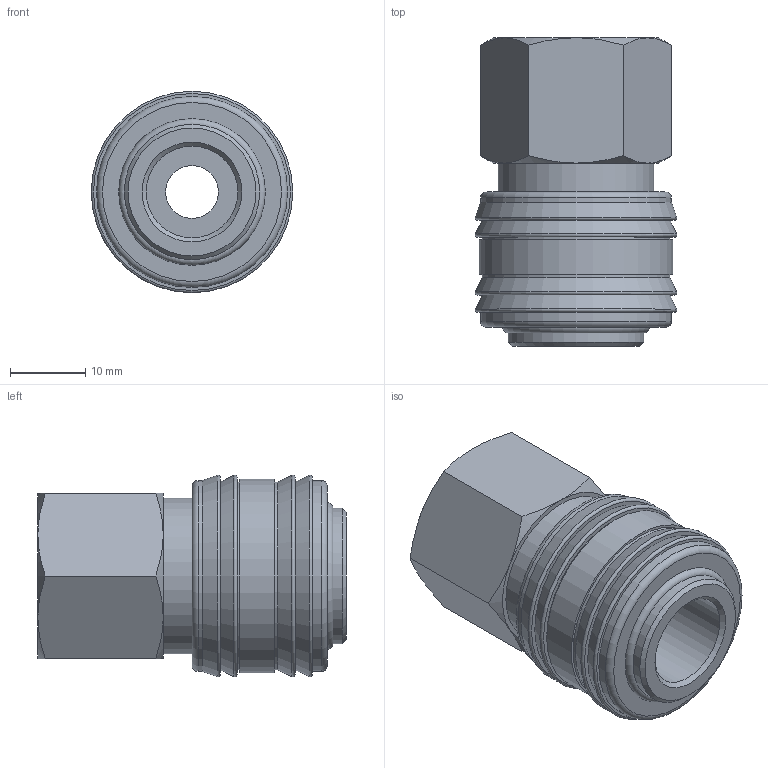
import cadquery as cq
import math


sleeve_front = 2.5
barrel_front = 9.55
barrel_rear = 14.15
sleeve_rear = 20.5
hex_front = 24.33
overall_length = 41.0

nose_radius = 9.0
sleeve_radius = 12.7
groove_radius = 12.5
barrel_radius = 12.85
rib_radius = 13.4
neck_radius = 10.35
bore_radius = 6.1
passage_radius = 3.5

nose_chamfer = 0.5
bore_chamfer = 0.55
shoulder_radius = 0.75
sleeve_fillet = 0.8
rib_tip_radius = 0.3

rib_length = 2.3
collar_rib_length = 2.4
front_pair_fronts = (4.5, 6.8)
rear_pair_fronts = (14.5, 16.75)

hex_across_flats = 22.0
hex_chamfer_angle = 30.0

bore_depth = sleeve_rear


def add_rib(profile, front, rear, rear_radius):
    """Continue the half profile up a rib's front wall, over its tip and down its cone."""
    tip_centre_radius = rib_radius - rib_tip_radius
    tip_centre = front + rib_tip_radius
    run = rear - tip_centre
    rise = tip_centre_radius - rear_radius
    cone_angle = math.atan2(rise, run) + math.asin(rib_tip_radius / math.hypot(run, rise))
    cone_start = (
        tip_centre_radius + rib_tip_radius * math.cos(cone_angle),
        tip_centre + rib_tip_radius * math.sin(cone_angle),
    )
    middle_angle = (cone_angle - math.pi / 2) / 2
    arc_middle = (
        tip_centre_radius + rib_tip_radius * math.cos(middle_angle),
        tip_centre + rib_tip_radius * math.sin(middle_angle),
    )
    return (
        profile.lineTo(tip_centre_radius, front)
        .threePointArc(arc_middle, cone_start)
        .lineTo(rear_radius, rear)
    )


def revolve_about_y(profile):
    return profile.close().revolve(360, (0, 0, 0), (0, 1, 0))


def make_turned_body():
    """Nose, ribbed sleeve and neck as one solid of revolution."""
    diagonal = math.sqrt(0.5)
    fillet_centre_radius = sleeve_radius - sleeve_fillet
    fillet_middle_radius = fillet_centre_radius + sleeve_fillet * diagonal
    front_fillet_end = sleeve_front + sleeve_fillet
    rear_fillet_start = sleeve_rear - sleeve_fillet

    profile = (
        cq.Workplane("XY")
        .moveTo(0, 0)
        .lineTo(nose_radius - nose_chamfer, 0)
        .lineTo(nose_radius, nose_chamfer)
        .lineTo(nose_radius, sleeve_front - shoulder_radius)
        .threePointArc(
            (nose_radius + shoulder_radius * diagonal, sleeve_front - shoulder_radius * diagonal),
            (nose_radius + shoulder_radius, sleeve_front),
        )
        .lineTo(fillet_centre_radius, sleeve_front)
        .threePointArc(
            (fillet_middle_radius, front_fillet_end - sleeve_fillet * diagonal),
            (sleeve_radius, front_fillet_end),
        )
        .lineTo(sleeve_radius, front_pair_fronts[0])
    )
    profile = add_rib(profile, front_pair_fronts[0], front_pair_fronts[1], groove_radius)
    profile = add_rib(profile, front_pair_fronts[1], front_pair_fronts[1] + rib_length, groove_radius)
    profile = (
        profile.lineTo(groove_radius, barrel_front)
        .lineTo(barrel_radius, barrel_front)
        .lineTo(barrel_radius, barrel_rear)
        .lineTo(groove_radius, barrel_rear)
        .lineTo(groove_radius, rear_pair_fronts[0])
    )
    profile = add_rib(profile, rear_pair_fronts[0], rear_pair_fronts[1], groove_radius)
    profile = add_rib(profile, rear_pair_fronts[1], rear_pair_fronts[1] + collar_rib_length, sleeve_radius)
    profile = (
        profile.lineTo(sleeve_radius, rear_fillet_start)
        .threePointArc(
            (fillet_middle_radius, rear_fillet_start + sleeve_fillet * diagonal),
            (fillet_centre_radius, sleeve_rear),
        )
        .lineTo(neck_radius, sleeve_rear)
        .lineTo(neck_radius, hex_front)
        .lineTo(0, hex_front)
    )
    return revolve_about_y(profile)


def make_hexagon():
    """Wrench hexagon with flats facing +Z and -Z and corners turned off at both ends."""
    flat_radius = hex_across_flats / 2
    corner_radius = flat_radius / math.cos(math.pi / 6)
    chamfer_length = (corner_radius - flat_radius) * math.tan(math.radians(hex_chamfer_angle))
    prism = (
        cq.Workplane("XZ", origin=(0, overall_length, 0))
        .polygon(6, 2 * corner_radius)
        .extrude(overall_length - hex_front)
    )
    turned_envelope = revolve_about_y(
        cq.Workplane("XY")
        .moveTo(0, hex_front)
        .lineTo(flat_radius, hex_front)
        .lineTo(corner_radius, hex_front + chamfer_length)
        .lineTo(corner_radius, overall_length - chamfer_length)
        .lineTo(flat_radius, overall_length)
        .lineTo(0, overall_length)
    )
    return prism.intersect(turned_envelope)


def make_bore():
    """Plug bore with a chamfered mouth, and the narrower passage through to the rear."""
    return revolve_about_y(
        cq.Workplane("XY")
        .moveTo(0, 0)
        .lineTo(bore_radius + bore_chamfer, 0)
        .lineTo(bore_radius, bore_chamfer)
        .lineTo(bore_radius, bore_depth)
        .lineTo(passage_radius, bore_depth)
        .lineTo(passage_radius, overall_length)
        .lineTo(0, overall_length)
    )


result = make_turned_body().union(make_hexagon()).cut(make_bore())